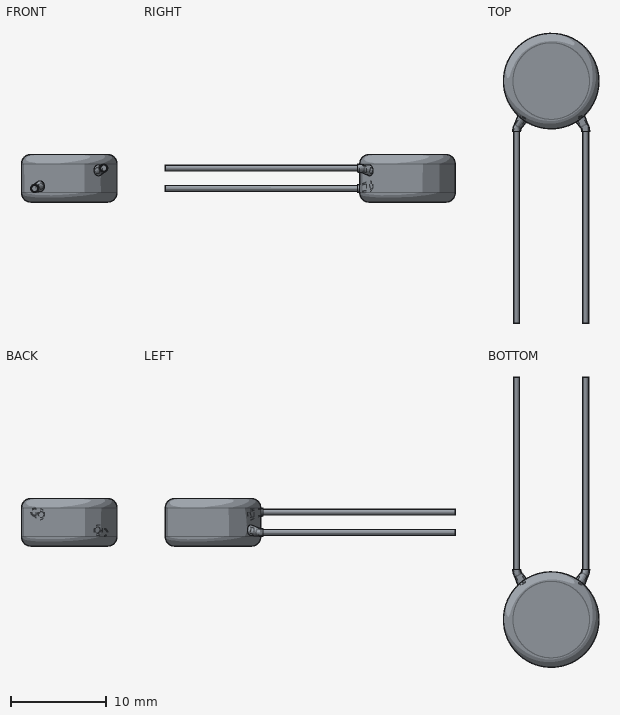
import cadquery as cq
import math

disc_diameter = 10.0
disc_thickness = disc_diameter / 2
disc_radius = disc_diameter / 2
rim_fillet = disc_diameter / 10

overall_length = 30.28
lead_diameter = 0.65
lead_offset_x = 3.6
lead_offset_z = 1.05
lead_tip_y = disc_radius - overall_length

neck_end_y = -5.25
neck_end_diameter = 0.85
neck_root_diameter = 1.18
neck_cone_length = 1.05
bend_angle = math.radians(32)
bend_radius = 1.05
neck_tilt = math.radians(21)

lead_tip = (0, lead_tip_y)
bend_end = (0, neck_end_y)


def point_on_bend(angle):
    inward = bend_radius * (1 - math.cos(angle))
    along_y = neck_end_y + bend_radius * math.sin(angle)
    return (inward, along_y)


bend_middle = point_on_bend(bend_angle / 2)
bend_start = point_on_bend(bend_angle)
cone_direction = (math.sin(bend_angle), math.cos(bend_angle))
cone_root = (
    bend_start[0] + neck_cone_length * cone_direction[0],
    bend_start[1] + neck_cone_length * cone_direction[1],
)


def bend_plane(side):
    """Plane of one lead's centreline; side is +1 for the +X, +Z lead and -1 for the other."""
    inward = cq.Vector(-side * math.cos(neck_tilt), 0, -side * math.sin(neck_tilt))
    normal = inward.cross(cq.Vector(0, 1, 0))
    return cq.Plane(
        origin=(side * lead_offset_x, 0, side * lead_offset_z), xDir=inward, normal=normal
    )


def make_lead(side):
    plane = bend_plane(side)
    path = (
        cq.Workplane(plane)
        .moveTo(*lead_tip)
        .lineTo(*bend_end)
        .threePointArc(bend_middle, bend_start)
        .lineTo(*cone_root)
    )
    tip_plane = cq.Plane(origin=plane.toWorldCoords(lead_tip), xDir=plane.xDir, normal=(0, 1, 0))
    return cq.Workplane(tip_plane).circle(lead_diameter / 2).sweep(path)


def make_neck(side):
    plane = bend_plane(side)
    path = cq.Workplane(plane).moveTo(*bend_end).threePointArc(bend_middle, bend_start)
    end_plane = cq.Plane(origin=plane.toWorldCoords(bend_end), xDir=plane.xDir, normal=(0, 1, 0))
    bend = cq.Workplane(end_plane).circle(neck_end_diameter / 2).sweep(path)

    root_centre = plane.toWorldCoords(cone_root)
    start_centre = plane.toWorldCoords(bend_start)
    cone = cq.Solid.makeCone(
        neck_end_diameter / 2,
        neck_root_diameter / 2,
        neck_cone_length,
        pnt=start_centre,
        dir=root_centre - start_centre,
    )
    return bend.union(cq.Workplane(cone))


def make_disc():
    disc = cq.Workplane("XY").cylinder(disc_thickness, disc_radius)
    return disc.edges("%CIRCLE").fillet(rim_fillet)


leads = [make_lead(side) for side in (-1, 1)]

housing = make_disc()
for side in (-1, 1):
    housing = housing.union(make_neck(side))
for lead in leads:
    housing = housing.cut(lead)

result = cq.Compound.makeCompound([housing.solids().val(), *[lead.val() for lead in leads]])